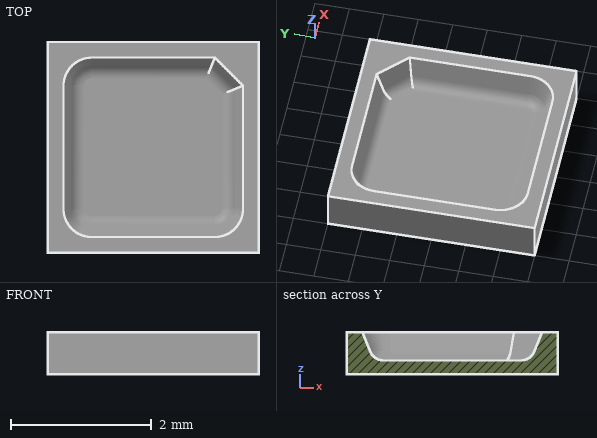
import cadquery as cq

side = 3.0
thickness = 0.6

rim_width = 0.225
corner_size = 0.4
pocket_depth = 0.4
wall_taper = 22.0
floor_fillet = 0.2

opening = side - 2 * rim_width


def make_plate():
    """Plate centred on the origin, resting on Z = 0."""
    return cq.Workplane("XY").box(side, side, thickness, centered=(True, True, False))


def make_pocket():
    """Tapered pocket volume with three round corners and one chamfered corner."""
    mouth = (
        cq.Sketch()
        .rect(opening, opening)
        .vertices(">X and >Y")
        .chamfer(corner_size)
        .reset()
        .vertices("<X or <Y")
        .fillet(corner_size)
    )
    return (
        cq.Workplane("XY", origin=(0, 0, thickness))
        .placeSketch(mouth)
        .extrude(-pocket_depth, taper=wall_taper)
        .faces("<Z")
        .edges()
        .fillet(floor_fillet)
    )


result = make_plate().cut(make_pocket())